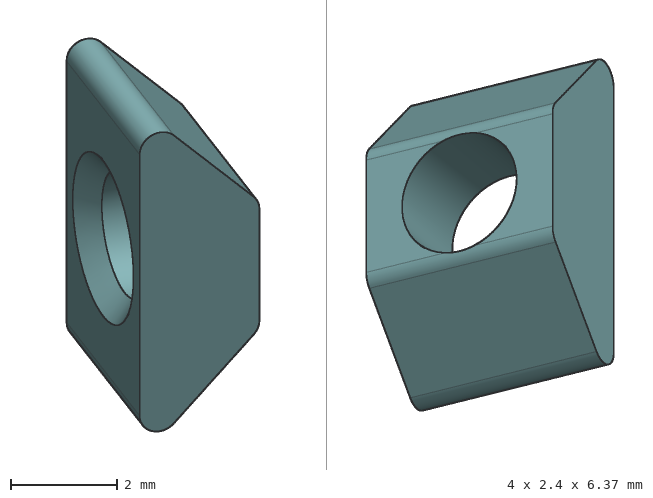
import cadquery as cq
import math

width = 4.0
depth = 2.4
height = 6.37
front_radius = 0.4
back_radius = 0.4
flank_angle = 45.0
hole_diameter = 2.46
countersink_diameter = 3.31
countersink_angle = 90.0

front_y = -depth / 2
back_y = depth / 2

normal_y = math.sin(math.radians(flank_angle))
normal_z = math.cos(math.radians(flank_angle))

round_center_y = front_y + front_radius
round_center_z = height / 2 - front_radius


def flank_z(y):
    """Height of the upper flank plane at a given y."""
    return round_center_z + (front_radius - normal_y * (y - round_center_y)) / normal_z


def make_block():
    front_z = flank_z(front_y)
    back_z = flank_z(back_y)
    block = (
        cq.Workplane("YZ")
        .polyline([(front_y, -front_z), (back_y, -back_z), (back_y, back_z), (front_y, front_z)])
        .close()
        .extrude(width / 2, both=True)
    )
    block = block.faces("<Y").edges("|X").fillet(front_radius)
    return block.faces(">Y").edges("|X").fillet(back_radius)


def drill_countersunk_hole(block):
    return (
        block.faces("<Y")
        .workplane(origin=(0, front_y, 0))
        .cskHole(hole_diameter, countersink_diameter, countersink_angle)
    )


result = drill_countersunk_hole(make_block())